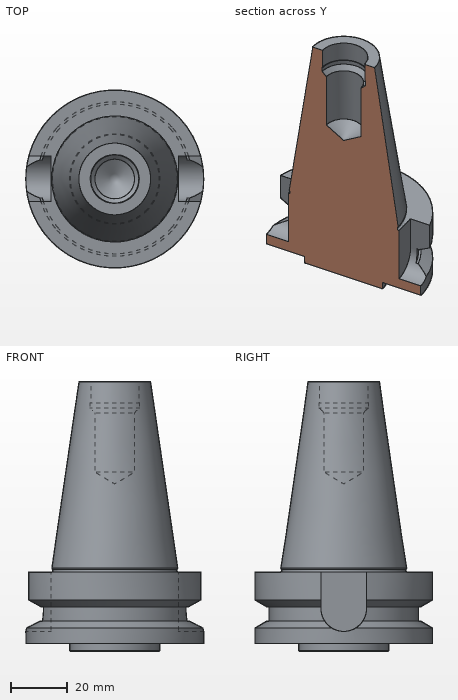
import cadquery as cq
import math

total_height = 95.4
gauge_height = 30.0
gauge_to_flange = 2.0
flange_top = gauge_height - gauge_to_flange
flange_bottom = 2.75

taper_ratio = 7 / 24
gauge_diameter = 44.45
taper_length = total_height - gauge_height
taper_overrun = 0.55
taper_bottom = gauge_height - taper_overrun
small_end_diameter = gauge_diameter - taper_ratio * taper_length
large_end_diameter = gauge_diameter + taper_ratio * taper_overrun

neck_diameter = 44.0
neck_chamfer_height = 0.5
neck_top = taper_bottom - neck_chamfer_height
neck_fillet_radius = 0.55

flange_diameter = 62.98
groove_floor_diameter = 53.0
groove_center = 13.2
groove_mouth_width = 9.9
groove_floor_width = 5.1
groove_flank_angle = 30.0

spigot_diameter = 32.0
spigot_chamfer = 0.3

slot_width = 16.1
slot_bottom = 7.05
slot_floor_offset = 22.6

pilot_diameter = 17.01
pilot_depth = 7.5
relief_diameter = 17.41
relief_depth = 9.3
core_diameter = 14.0
core_depth = 32.0
drill_point_angle = 118.0


def make_body():
    """Solid of revolution: spigot, grooved flange, relief neck and taper."""
    spigot_radius = spigot_diameter / 2
    flange_radius = flange_diameter / 2
    floor_radius = groove_floor_diameter / 2
    neck_radius = neck_diameter / 2

    flank_height = (groove_mouth_width - groove_floor_width) / 2
    flank_depth = flank_height / math.tan(math.radians(groove_flank_angle))
    ledge_radius = flange_radius - flank_depth
    mouth_bottom = groove_center - groove_mouth_width / 2
    mouth_top = groove_center + groove_mouth_width / 2
    floor_bottom = groove_center - groove_floor_width / 2
    floor_top = groove_center + groove_floor_width / 2

    spigot_and_flange = [
        (0, 0),
        (spigot_radius - spigot_chamfer, 0),
        (spigot_radius, spigot_chamfer),
        (spigot_radius, flange_bottom),
        (flange_radius, flange_bottom),
        (flange_radius, mouth_bottom),
        (ledge_radius, floor_bottom),
        (floor_radius, floor_bottom),
        (floor_radius, floor_top),
        (ledge_radius, floor_top),
        (flange_radius, mouth_top),
        (flange_radius, flange_top),
        (neck_radius + neck_fillet_radius, flange_top),
    ]
    return (
        cq.Workplane("XZ")
        .polyline(spigot_and_flange)
        .radiusArc((neck_radius, flange_top + neck_fillet_radius), neck_fillet_radius)
        .lineTo(neck_radius, neck_top)
        .lineTo(large_end_diameter / 2, taper_bottom)
        .lineTo(small_end_diameter / 2, total_height)
        .lineTo(0, total_height)
        .close()
        .revolve(360, (0, 0), (0, 1))
    )


def make_drive_slot(side):
    """Round-bottomed slot cutter; side is +1 for +X and -1 for -X."""
    slot_radius = slot_width / 2
    round_center = slot_bottom + slot_radius
    return (
        cq.Workplane("YZ", origin=(side * slot_floor_offset, 0, 0))
        .moveTo(-slot_radius, flange_top)
        .lineTo(-slot_radius, round_center)
        .threePointArc((0, slot_bottom), (slot_radius, round_center))
        .lineTo(slot_radius, flange_top)
        .close()
        .extrude(side * flange_diameter / 2)
    )


def make_pull_stud_bore():
    """Cutter for the pilot, relief groove, 45 degree lead-in and drilled core."""
    pilot_radius = pilot_diameter / 2
    relief_radius = relief_diameter / 2
    core_radius = core_diameter / 2
    lead_in_depth = relief_depth + relief_radius - core_radius
    point_depth = core_depth + core_radius / math.tan(math.radians(drill_point_angle / 2))
    profile = [
        (0, total_height),
        (pilot_radius, total_height),
        (pilot_radius, total_height - pilot_depth),
        (relief_radius, total_height - pilot_depth),
        (relief_radius, total_height - relief_depth),
        (core_radius, total_height - lead_in_depth),
        (core_radius, total_height - core_depth),
        (0, total_height - point_depth),
    ]
    return cq.Workplane("XZ").polyline(profile).close().revolve(360, (0, 0), (0, 1))


result = make_body().cut(make_pull_stud_bore())
for side in (-1, 1):
    result = result.cut(make_drive_slot(side))